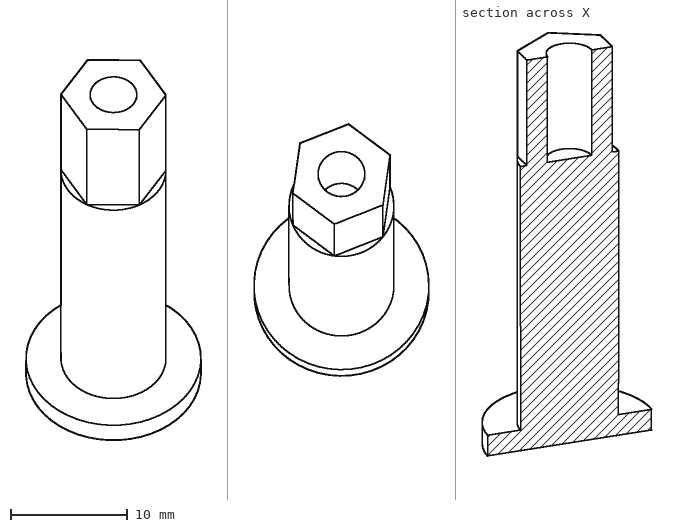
import cadquery as cq

flange_diameter = 15.0
flange_thickness = 2.0

shank_diameter = 9.0
shank_length = 25.0

hex_sides = 6
hex_corner_diameter = shank_diameter
hex_length = 10.0
hex_rotation = 4.0

bore_diameter = 4.0
bore_depth = hex_length

shank_top = flange_thickness + shank_length
total_height = shank_top + hex_length


def make_flange():
    return cq.Workplane("XY").circle(flange_diameter / 2).extrude(flange_thickness)


def make_shank():
    return (
        cq.Workplane("XY")
        .workplane(offset=flange_thickness)
        .circle(shank_diameter / 2)
        .extrude(shank_length)
    )


def make_hex_head():
    head = (
        cq.Workplane("XY")
        .workplane(offset=shank_top)
        .polygon(hex_sides, hex_corner_diameter)
        .extrude(hex_length)
    )
    return head.rotate((0, 0, 0), (0, 0, 1), hex_rotation)


def make_bore():
    return (
        cq.Workplane("XY")
        .workplane(offset=total_height - bore_depth)
        .circle(bore_diameter / 2)
        .extrude(bore_depth)
    )


result = make_flange().union(make_shank()).union(make_hex_head()).cut(make_bore())